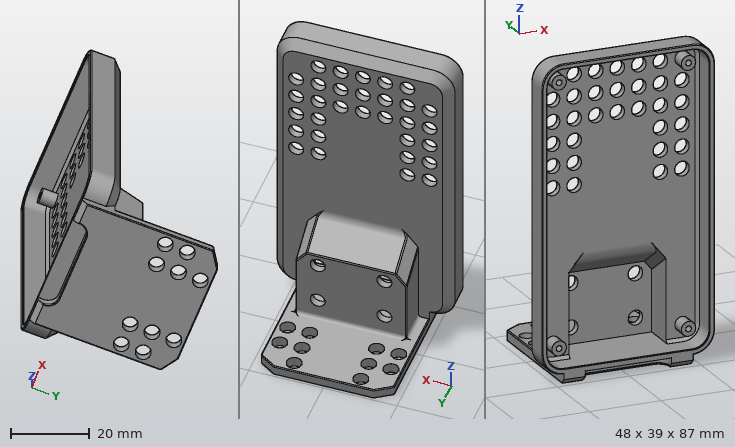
import cadquery as cq
import math

pitch = 6.0
total_height = 87.0
plate_thickness = 3.0
edge_break = 0.3

tray_width = 8 * pitch
tray_height = total_height - plate_thickness
tray_depth = 9.05
tray_back_chamfer = 2.5
wall = 1.5
rim_break = 0.2
floor_chamfer = 0.9
floor_thickness = 2.0
floor_y = tray_depth - floor_thickness
tray_center_z = plate_thickness + tray_height / 2

hole_diameter = 4.0
post_diameter = 4.0
post_bore = 1.6
post_length = 4.1
grid_top_z = total_height - pitch
grid_bottom_z = plate_thickness + pitch

plate_width = tray_width - 2 * pitch
plate_depth = 39.0
plate_corner_x = 4.5
plate_corner_y = 3.0
plate_corner_radius = 1.0
plate_front_chamfer = 1.5
notch_width = 4 * pitch
notch_depth = 4.5
notch_radius = 3.0

hood_width = 5 * pitch
hood_back_y = 3 * pitch
hood_back_z = 24.4
roof_slope = 2 / 3
hood_chamfer = 3.0
hood_blend = 2.5
pocket_chamfer = 2.1
pocket_blend = 4.35
foot_fillet = 1.05


def box(x_size, y_range, z_range):
    """Box centred on X, spanning the given Y and Z ranges."""
    y0, y1 = y_range
    z0, z1 = z_range
    return cq.Workplane("XY").box(x_size, y1 - y0, z1 - z0, centered=(True, False, False)).translate((0, y0, z0))


def rounded_slab(inset, y0, y1):
    """Slab with the tray outline moved inwards by inset, from y0 to y1."""
    return (
        cq.Workplane("XZ", origin=(0, y0, tray_center_z))
        .rect(tray_width - 2 * inset, tray_height - 2 * inset)
        .extrude(y0 - y1)
        .edges("|Y")
        .fillet(pitch - inset)
    )


def cylinders(points, diameter, y0, y1):
    """Cylinders along Y at the given (x, z) points."""
    return cq.Workplane("XZ", origin=(0, y0, 0)).pushPoints(points).circle(diameter / 2).extrude(y0 - y1)


def make_tray_body():
    body = rounded_slab(0, 0, tray_depth)
    return body.faces(">Y").chamfer(tray_back_chamfer).faces("<Y").chamfer(edge_break)


def make_tray_cavity():
    cavity = rounded_slab(wall, 0, floor_y).faces(">Y").chamfer(floor_chamfer)
    rim_bevel = rounded_slab(wall - rim_break, 0, 2 * rim_break).faces(">Y").chamfer(rim_break)
    return cavity.union(rim_bevel)


def make_plate():
    half = plate_width / 2
    plate = (
        cq.Workplane("XY")
        .moveTo(-half, 0)
        .lineTo(half, 0)
        .lineTo(half, plate_depth - plate_corner_y)
        .lineTo(half - plate_corner_x, plate_depth)
        .lineTo(plate_corner_x - half, plate_depth)
        .lineTo(-half, plate_depth - plate_corner_y)
        .close()
        .extrude(plate_thickness)
    )
    plate = plate.edges("|Z and (not <Y)").fillet(plate_corner_radius)
    plate = plate.faces("<Z or >Z").edges("not <Y").chamfer(edge_break)
    upstand = box(plate_width, (0, tray_depth), (plate_thickness / 2, plate_thickness + tray_back_chamfer))
    plate = plate.union(upstand)
    front_bevel = (
        cq.Workplane("YZ")
        .polyline([(0, 0), (plate_front_chamfer, 0), (0, plate_front_chamfer)])
        .close()
        .extrude(plate_width / 2, both=True)
    )
    return plate.cut(front_bevel).cut(make_notch())


def make_notch():
    """Round-cornered notch in the front edge, flared at the underside."""
    def notch_slab(grow, top_z):
        slab = box(notch_width + 2 * grow, (-notch_depth, notch_depth + grow), (0, top_z))
        return slab.edges("|Z and >Y").fillet(notch_radius + grow)

    flare = notch_slab(edge_break, 2 * edge_break).faces(">Z").chamfer(edge_break)
    return notch_slab(0, plate_thickness).union(flare)


def make_hood_shape(width, front_y, back_y, bottom_z, back_z, chamfer, blend):
    """Sloping-roof block whose roof curves up to meet the plane y = front_y."""
    front_z = back_z + roof_slope * (back_y - front_y)
    slope_angle = math.atan(roof_slope)
    turn = math.pi / 2 - slope_angle
    tangent = blend * math.tan(turn / 2)
    side_profile = (
        cq.Workplane("YZ")
        .moveTo(front_y, bottom_z)
        .lineTo(back_y, bottom_z)
        .lineTo(back_y, back_z)
        .lineTo(front_y + tangent * math.cos(slope_angle), front_z - tangent * math.sin(slope_angle))
        .tangentArcPoint((front_y, front_z + tangent), relative=False)
        .close()
        .extrude(width / 2, both=True)
    )

    shoulder_z = front_z - chamfer / math.cos(slope_angle)
    tip_half_width = width / 2 - chamfer - tangent * math.cos(slope_angle)
    tip_z = front_z + tangent
    section = cq.Wire.makePolygon(
        [
            cq.Vector(-width / 2, front_y, bottom_z),
            cq.Vector(width / 2, front_y, bottom_z),
            cq.Vector(width / 2, front_y, shoulder_z),
            cq.Vector(tip_half_width, front_y, tip_z),
            cq.Vector(-tip_half_width, front_y, tip_z),
            cq.Vector(-width / 2, front_y, shoulder_z),
        ],
        close=True,
    )
    run = back_y - front_y
    envelope = cq.Workplane(cq.Solid.extrudeLinear(section, [], cq.Vector(0, run, -roof_slope * run)))
    return side_profile.intersect(envelope)


def make_hood():
    hood = make_hood_shape(
        hood_width, tray_depth, hood_back_y, plate_thickness, hood_back_z, hood_chamfer, hood_blend
    )
    roof_direction = cq.Vector(0, -1, roof_slope)
    bevel_edges = hood.edges(cq.selectors.ParallelDirSelector(roof_direction))
    return hood.faces(">Y").edges("not <Z").add(bevel_edges).chamfer(edge_break)


def make_pocket():
    pocket_bottom = plate_thickness + wall
    pocket_width = hood_width - 2 * wall
    pocket_back_y = hood_back_y - floor_thickness
    roof_drop = wall / math.cos(math.atan(roof_slope))
    pocket_back_z = hood_back_z + roof_slope * floor_thickness - roof_drop
    pocket = make_hood_shape(
        pocket_width, floor_y, pocket_back_y, pocket_bottom, pocket_back_z, pocket_chamfer, pocket_blend
    )
    threshold = box(pocket_width, (floor_y - floor_chamfer, floor_y), (pocket_bottom, pocket_bottom + floor_chamfer))
    return pocket.union(threshold)


def fillet_strip(length):
    """Concave fillet strip along X, in the corner between +Y and +Z."""
    return (
        cq.Workplane("YZ")
        .lineTo(foot_fillet, 0)
        .radiusArc((0, foot_fillet), foot_fillet)
        .close()
        .extrude(length / 2, both=True)
    )


def make_foot_fillets():
    """Fillets between the foot plate and the rear and side walls of the hood."""
    half = hood_width / 2
    tapered_plan = (
        cq.Workplane("XY")
        .polyline([(-half, 0), (half, 0), (half - foot_fillet, foot_fillet), (foot_fillet - half, foot_fillet)])
        .close()
        .extrude(foot_fillet)
    )
    rear = fillet_strip(hood_width).intersect(tapered_plan).translate((0, hood_back_y, plate_thickness))
    side_length = hood_back_y - tray_depth
    side = (
        fillet_strip(side_length)
        .rotate((0, 0, 0), (0, 0, 1), -90)
        .translate((half, tray_depth + side_length / 2, plate_thickness))
    )
    return rear.union(side).union(side.mirror("YZ"))


def tray_hole_points():
    points = []
    for row in range(6):
        for column in range(-3, 4):
            is_post = row == 0 and abs(column) == 3
            is_blank = row > 2 and abs(column) < 2
            if not is_post and not is_blank:
                points.append((column * pitch, grid_top_z - row * pitch))
    return points


post_points = [(x, z) for x in (-3 * pitch, 3 * pitch) for z in (grid_bottom_z, grid_top_z)]
hood_hole_points = [
    (x, z) for x in (-1.5 * pitch, 1.5 * pitch) for z in (grid_bottom_z, grid_bottom_z + 2 * pitch)
]
plate_hole_points = [
    (side * column * pitch, row * pitch)
    for side in (-1, 1)
    for column, row in ((1.5, 4), (1.5, 5), (1.5, 6), (2.5, 4), (2.5, 5))
]

posts = cylinders(post_points, post_diameter, floor_y - post_length, floor_y)
post_bores = cylinders(post_points, post_bore, floor_y - post_length, floor_y)
tray_holes = cylinders(tray_hole_points(), hole_diameter, floor_y, tray_depth)
hood_holes = cylinders(hood_hole_points, hole_diameter, hood_back_y - floor_thickness, hood_back_y)
plate_holes = (
    cq.Workplane("XY").pushPoints(plate_hole_points).circle(hole_diameter / 2).extrude(plate_thickness)
)

result = (
    make_tray_body()
    .union(make_plate())
    .union(make_hood())
    .union(make_foot_fillets())
    .cut(make_tray_cavity())
    .cut(make_pocket())
    .union(posts)
    .cut(post_bores)
    .cut(tray_holes)
    .cut(hood_holes)
    .cut(plate_holes)
)